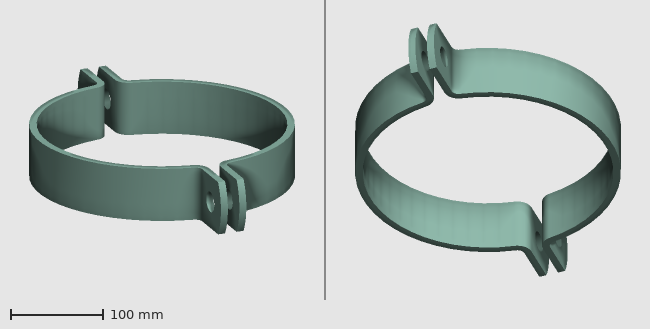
import cadquery as cq
import math

overall_length = 408.0
overall_depth = 288.0
strap_width = 60.0
strap_thickness = 8.0
ear_gap = 13.5
bend_inner_radius = 8.0
ear_end_radius = 60.0
hole_diameter = 23.0
hole_spacing = 347.5

outer_radius = overall_depth / 2
inner_radius = outer_radius - strap_thickness
half_length = overall_length / 2
ear_inner_y = ear_gap / 2
ear_outer_y = ear_inner_y + strap_thickness
bend_outer_radius = bend_inner_radius + strap_thickness

bend_center_y = ear_outer_y + bend_inner_radius
bend_center_distance = outer_radius + bend_inner_radius
bend_angle = math.asin(bend_center_y / bend_center_distance)
bend_center_x = bend_center_distance * math.cos(bend_angle)


def ring_point(radius, side):
    """Point where the round strap meets the bend on one side (-1 or +1)."""
    return (side * radius * math.cos(bend_angle), radius * math.sin(bend_angle))


def bend_midpoint(radius, side):
    """Point halfway between the ear and the strap along a bend."""
    direction = (math.pi / 2 + bend_angle) / 2
    return (
        side * (bend_center_x - radius * math.cos(direction)),
        bend_center_y - radius * math.sin(direction),
    )


def bent_strap():
    """Half ring with a flat ear bent outward at each end."""
    return (
        cq.Workplane("XY")
        .moveTo(-half_length, ear_outer_y)
        .lineTo(-bend_center_x, ear_outer_y)
        .threePointArc(bend_midpoint(bend_inner_radius, -1), ring_point(outer_radius, -1))
        .threePointArc((0, outer_radius), ring_point(outer_radius, 1))
        .threePointArc(bend_midpoint(bend_inner_radius, 1), (bend_center_x, ear_outer_y))
        .lineTo(half_length, ear_outer_y)
        .lineTo(half_length, ear_inner_y)
        .lineTo(bend_center_x, ear_inner_y)
        .threePointArc(bend_midpoint(bend_outer_radius, 1), ring_point(inner_radius, 1))
        .threePointArc((0, inner_radius), ring_point(inner_radius, -1))
        .threePointArc(bend_midpoint(bend_outer_radius, -1), (-bend_center_x, ear_inner_y))
        .lineTo(-half_length, ear_inner_y)
        .close()
        .extrude(strap_width / 2, both=True)
    )


def rounded_outline():
    """Block through the whole clamp half whose ends give the ears their arcs."""
    half_width = strap_width / 2
    end_arc_rise = ear_end_radius - math.sqrt(ear_end_radius**2 - half_width**2)
    corner_x = half_length - end_arc_rise
    return (
        cq.Workplane("XZ")
        .moveTo(-corner_x, -half_width)
        .lineTo(corner_x, -half_width)
        .threePointArc((half_length, 0), (corner_x, half_width))
        .lineTo(-corner_x, half_width)
        .threePointArc((-half_length, 0), (-corner_x, -half_width))
        .close()
        .extrude(-overall_depth)
    )


def bolt_holes():
    """Cylinders through the two ears."""
    return (
        cq.Workplane("XZ")
        .pushPoints([(-hole_spacing / 2, 0), (hole_spacing / 2, 0)])
        .circle(hole_diameter / 2)
        .extrude(-overall_depth / 2)
    )


def clamp_half(turn):
    """One clamp half, turned about the Z axis by an angle in degrees."""
    half = bent_strap().intersect(rounded_outline()).cut(bolt_holes())
    return half.rotate((0, 0, 0), (0, 0, 1), turn)


clamp_halves = [clamp_half(turn).val() for turn in (0, 180)]

result = cq.Compound.makeCompound([solid for half in clamp_halves for solid in half.Solids()])